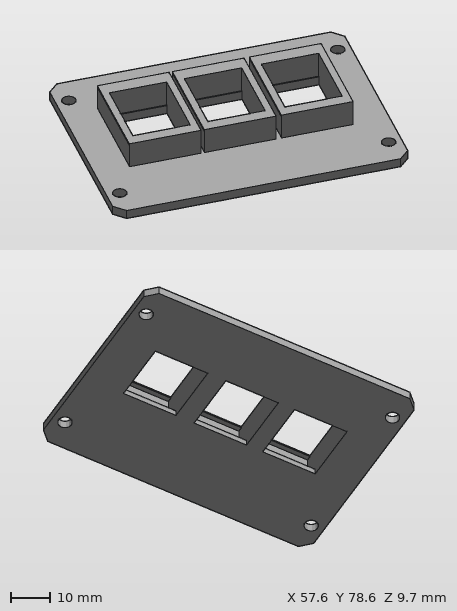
import cadquery as cq

plate_width = 57.6
plate_length = 78.6
plate_thickness = 2.5
corner_chamfer = 2.8

hole_diameter = 3.6
hole_spacing_x = 42.05
hole_spacing_y = 71.6

total_height = 9.7
frame_left = -15.4
frame_right = 11.0
frame_length = 19.0
frame_centers_y = (20.05, -0.5, -20.4)
cap_height = 0.5
cap_overhang = 0.1

window_left = -11.55
window_right = 7.85
window_length = 15.25
lip_width = 0.3
undercut_depth = 1.3
ledge_width = 2.7
ledge_top = 2.9
ledge_radius = 1.7


def make_plate():
    plate = (
        cq.Workplane("XY")
        .rect(plate_width, plate_length)
        .extrude(plate_thickness)
        .edges("|Z")
        .chamfer(corner_chamfer)
    )
    holes = (
        cq.Workplane("XY")
        .rect(hole_spacing_x, hole_spacing_y, forConstruction=True)
        .vertices()
        .circle(hole_diameter / 2)
        .extrude(plate_thickness)
    )
    return plate.cut(holes)


def make_frame(center_y):
    """Block standing on the plate, its top layer slightly proud on the -Y side."""
    front = center_y - frame_length / 2
    cap_bottom = total_height - cap_height
    back = center_y + frame_length / 2
    return (
        cq.Workplane("YZ", origin=(frame_left, 0, 0))
        .moveTo(front, 0)
        .lineTo(back, 0)
        .lineTo(back, total_height)
        .lineTo(front - cap_overhang, total_height)
        .lineTo(front - cap_overhang, cap_bottom)
        .lineTo(front, cap_bottom)
        .close()
        .extrude(frame_right - frame_left)
    )


def make_window(center_y):
    """Through opening that leaves a lip on the left and a rounded ledge on the right."""
    lip_edge = window_left + lip_width
    undercut_right = window_right + undercut_depth
    cap_bottom = total_height - cap_height
    ledge_nose = window_right - ledge_width
    return (
        cq.Workplane("XZ", origin=(0, center_y, 0))
        .moveTo(lip_edge, 0)
        .lineTo(ledge_nose, 0)
        .lineTo(ledge_nose, ledge_top - ledge_radius)
        .radiusArc((ledge_nose + ledge_radius, ledge_top), ledge_radius)
        .lineTo(undercut_right, ledge_top)
        .lineTo(undercut_right, cap_bottom)
        .lineTo(window_right, cap_bottom)
        .lineTo(window_right, total_height)
        .lineTo(window_left, total_height)
        .lineTo(window_left, plate_thickness)
        .lineTo(lip_edge, plate_thickness)
        .close()
        .extrude(window_length / 2, both=True)
    )


result = make_plate()
for frame_y in frame_centers_y:
    result = result.union(make_frame(frame_y))
for frame_y in frame_centers_y:
    result = result.cut(make_window(frame_y))